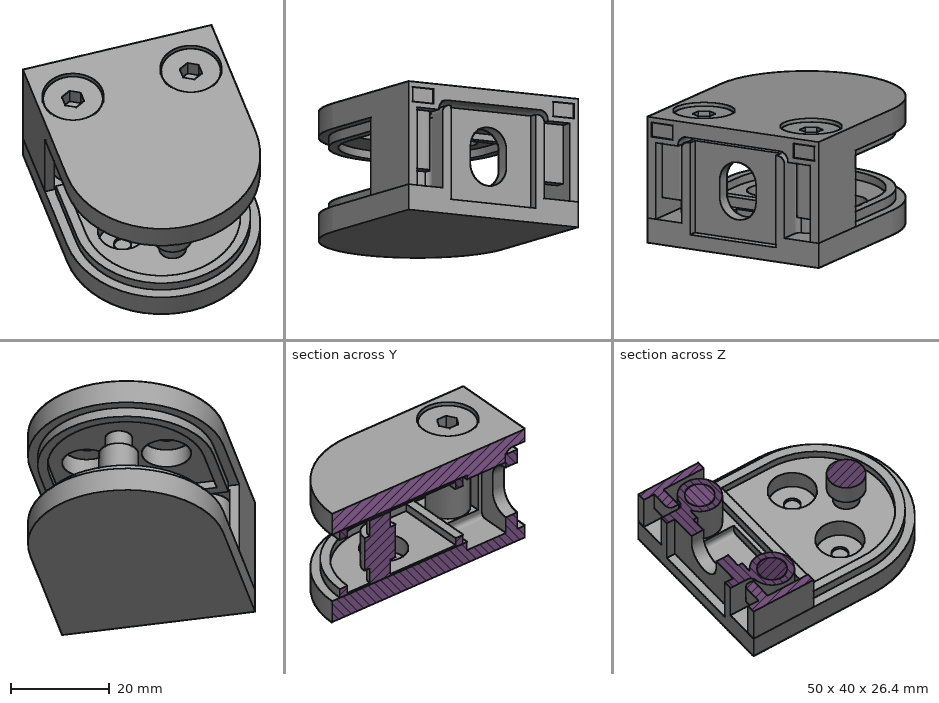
import cadquery as cq
import math

length = 50.0
width = 40.0
height = 26.4
nose_radius = width / 2
nose_x = length - nose_radius
jaw_thickness = 5.2
jaw_underside_z = height - jaw_thickness
block_length = 15.0

side_wall = 2.0
cavity_half_width = width / 2 - side_wall
cavity_top_z = 20.25
tab_front_x = 2.6
tab_back_x = 5.0
tab_bottom_z = 9.15
tab_inner_y = 12.9
tab_fillet = 1.2
channel_half_width = 12.85
channel_top_z = 23.3
channel_corner_radius = 2.0
channel_back_fillet = 1.75
label_length = 4.95
label_height = 3.0
label_depth = 0.4
label_y = 16.55
label_z = 23.8

upright_half_width = 12.0
upright_top_z = 22.25
upright_corner_radius = 1.5
upright_thickness = tab_back_x
face_recess_width = 20.0
face_recess_bottom_z = 3.0
face_recess_depth = 2.0
slot_width = 8.5
slot_height = 12.0
slot_z = 13.0
wing_back_x = 6.0
wing_inner_y = 7.7
wing_flare_start_x = 4.15
wing_flare_radius = 1.35
post_radius = 4.6
pocket_floor_z = 3.2
pocket_fillet = 1.0

screw_x = 10.0
screw_y = 12.5
counterbore_radius = 6.25
counterbore_bottom_z = 23.5
head_radius = 6.0
head_sink = 0.7
head_top_z = height - head_sink
shank_radius = 3.0
shank_bottom_z = 9.0
hex_across_flats = 4.0
hex_depth = 3.25
hex_turn = 30.0

gasket_back_x = 16.0
gasket_half_width = 18.0
gasket_thickness = 2.1
gasket_rim = 2.0
gasket_recess = 1.7
cup_x = nose_x
cup_y = 8.25
cup_radius = 5.0
cup_depth = 4.1
cup_wall = 0.6
cup_vent_radius = 1.75
pin_x = 37.5
pin_radius = 2.75
sleeve_radius = 4.0
sleeve_bottom_z = 9.0
sleeve_length = 8.0


def box(x_range, y_range, z_range):
    """Box between the given limits."""
    size = [limits[1] - limits[0] for limits in (x_range, y_range, z_range)]
    corner = (x_range[0], y_range[0], z_range[0])
    return cq.Workplane("XY").box(*size, centered=False).translate(corner)


def disc(x, y, radius, bottom_z, top_z):
    """Upright cylinder between two heights."""
    return cq.Workplane("XY", origin=(x, y, bottom_z)).circle(radius).extrude(top_z - bottom_z)


def d_plate(back_x, radius, bottom_z, thickness):
    """D-shaped plate with its round end centred on the nose of the clamp."""
    return (
        cq.Workplane("XY", origin=(0, 0, bottom_z))
        .moveTo(back_x, -radius)
        .lineTo(nose_x, -radius)
        .threePointArc((nose_x + radius, 0), (nose_x, radius))
        .lineTo(back_x, radius)
        .close()
        .extrude(thickness)
    )


def both_sides(shape):
    """Shape together with its mirror image across the XZ plane."""
    return shape.union(shape.mirror("XZ"))


def gasket():
    """Gasket of the lower jaw: rimmed D plate with two hollow plugs that reach into the jaw."""
    bottom_z = jaw_thickness
    top_z = bottom_z + gasket_thickness
    floor_z = top_z - gasket_recess
    body = d_plate(gasket_back_x, gasket_half_width, bottom_z, gasket_thickness)
    body = body.cut(
        d_plate(gasket_back_x + gasket_rim, gasket_half_width - gasket_rim, floor_z, gasket_recess)
    )
    cup_floor_z = floor_z - cup_depth
    for y in (-cup_y, cup_y):
        body = body.union(disc(cup_x, y, cup_radius + cup_wall, cup_floor_z - cup_wall, floor_z))
        body = body.cut(disc(cup_x, y, cup_radius, cup_floor_z, floor_z))
        body = body.cut(disc(cup_x, y, cup_vent_radius, cup_floor_z - cup_wall, floor_z))
    return body


def plug_sockets():
    """Blind holes of the lower jaw that take the gasket plugs."""
    bottom_z = jaw_thickness + gasket_thickness - gasket_recess - cup_depth - cup_wall
    return both_sides(disc(cup_x, cup_y, cup_radius + cup_wall, bottom_z, jaw_thickness))


def mirrored_to_upper(shape):
    """Mirror a lower-jaw shape across the mid-height plane."""
    return shape.mirror("XY", (0, 0, height / 2))


def channel():
    """Round-topped channel at the back that clears the upright of the lower jaw."""
    return (
        box((0, tab_back_x), (-channel_half_width, channel_half_width), (jaw_thickness, channel_top_z))
        .edges("|X and >Z")
        .fillet(channel_corner_radius)
        .faces(">X")
        .edges("not <Z")
        .fillet(channel_back_fillet)
    )


def tab():
    """Tab hanging behind a window, rounded at its inner front edge."""
    return (
        box((tab_front_x, tab_back_x), (tab_inner_y, cavity_half_width), (tab_bottom_z, jaw_underside_z))
        .edges("|Z and <X and <Y")
        .fillet(tab_fillet)
    )


def make_housing():
    body = d_plate(0, nose_radius, jaw_underside_z, jaw_thickness)
    body = body.union(
        box((0, block_length), (-width / 2, width / 2), (jaw_thickness, jaw_underside_z))
    )
    body = body.cut(
        box((0, block_length), (-cavity_half_width, cavity_half_width), (jaw_thickness, cavity_top_z))
    )
    body = body.cut(
        box((0, tab_back_x), (-cavity_half_width, cavity_half_width), (jaw_thickness, jaw_underside_z))
    )
    body = body.union(both_sides(tab())).cut(channel())
    label = cq.Workplane("XY").box(2 * label_depth, label_length, label_height)
    body = body.cut(both_sides(label.translate((0, label_y, label_z))))
    body = body.cut(both_sides(disc(screw_x, screw_y, counterbore_radius, counterbore_bottom_z, height)))
    body = body.cut(both_sides(disc(screw_x, screw_y, shank_radius, cavity_top_z, height)))
    return body.cut(mirrored_to_upper(plug_sockets()))


def upright():
    """Round-cornered upright with wings that join it to the screw posts."""
    body = (
        box((0, upright_thickness), (-upright_half_width, upright_half_width), (0, upright_top_z))
        .edges("|X and >Z")
        .fillet(upright_corner_radius)
    )
    flare_width = channel_half_width - upright_half_width
    flare_angle = math.acos(1 - flare_width / wing_flare_radius)

    def flare_point(angle):
        return (
            wing_flare_start_x + wing_flare_radius * math.sin(angle),
            upright_half_width + wing_flare_radius * (1 - math.cos(angle)),
        )

    wing = (
        cq.Workplane("XY")
        .moveTo(*flare_point(0))
        .threePointArc(flare_point(flare_angle / 2), flare_point(flare_angle))
        .lineTo(wing_back_x, channel_half_width)
        .lineTo(wing_back_x, wing_inner_y)
        .lineTo(wing_flare_start_x, wing_inner_y)
        .close()
        .extrude(cavity_top_z)
    )
    return body.union(both_sides(wing))


def floor_pocket():
    """Pocket in the plate between the posts, rounded along its floor."""
    return (
        box((upright_thickness, block_length), (-wing_inner_y, wing_inner_y), (pocket_floor_z, jaw_thickness))
        .edges("|X and <Z")
        .fillet(pocket_fillet)
    )


def make_lower_jaw():
    body = d_plate(0, nose_radius, 0, jaw_thickness).union(upright())
    body = body.union(both_sides(disc(screw_x, screw_y, post_radius, 0, cavity_top_z)))
    body = body.cut(floor_pocket())
    body = body.cut(
        box(
            (0, face_recess_depth),
            (-face_recess_width / 2, face_recess_width / 2),
            (face_recess_bottom_z, upright_top_z),
        )
    )
    slot = (
        cq.Workplane("YZ", origin=(0, 0, slot_z))
        .slot2D(slot_height, slot_width, 90)
        .extrude(upright_thickness)
    )
    body = body.cut(slot)
    body = body.cut(both_sides(disc(screw_x, screw_y, shank_radius, shank_bottom_z, cavity_top_z)))
    return body.cut(plug_sockets())


def make_screw(y):
    """Flat-headed screw with a hexagon socket."""
    head = disc(screw_x, y, head_radius, counterbore_bottom_z, head_top_z)
    shank = disc(screw_x, y, shank_radius, shank_bottom_z, counterbore_bottom_z)
    socket = (
        cq.Workplane("XY", origin=(screw_x, y, head_top_z))
        .polygon(6, hex_across_flats, circumscribed=True)
        .extrude(-hex_depth)
        .rotate((screw_x, y, 0), (screw_x, y, 1), hex_turn)
    )
    return head.union(shank).cut(socket)


def make_lower_gasket():
    """Lower gasket with the stepped locking pin standing on it."""
    floor_z = jaw_thickness + gasket_thickness - gasket_recess
    sleeve_top_z = sleeve_bottom_z + sleeve_length
    pin = disc(pin_x, 0, pin_radius, floor_z, height - floor_z)
    sleeve = disc(pin_x, 0, sleeve_radius, sleeve_bottom_z, sleeve_top_z)
    return gasket().union(pin).union(sleeve)


housing = make_housing()
lower_jaw = make_lower_jaw()
screws = [make_screw(y) for y in (-screw_y, screw_y)]
lower_gasket = make_lower_gasket()
upper_gasket = mirrored_to_upper(gasket())

result = cq.Compound.makeCompound(
    [
        housing.val(),
        lower_jaw.val(),
        *[screw.val() for screw in screws],
        lower_gasket.val(),
        upper_gasket.val(),
    ]
)